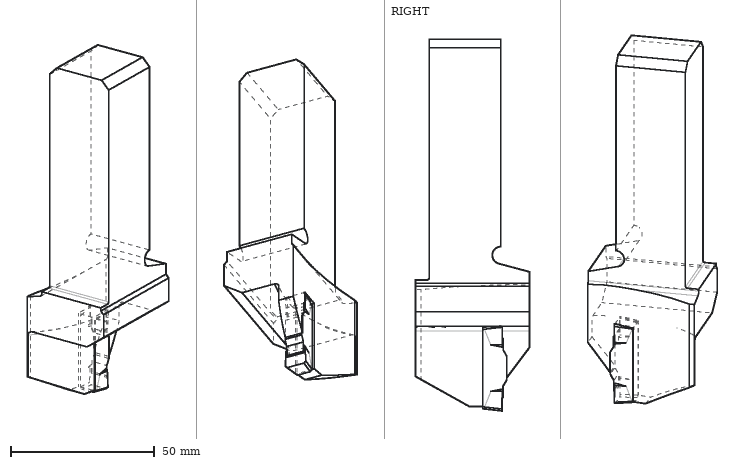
import cadquery as cq
import math

TOP_Z = 129.5
SHANK_SIDE = 25.0
SHANK_CHAMFER = 3.0

HEAD_FRONT_Y = -4.8
HEAD_BACK_Y = 35.0
HEAD_LEFT_X = -6.2
HEAD_RIGHT_X = 26.1
HEAD_TOP_Z = 45.7
HEAD_BOTTOM_Z = 29.5
SIDE_BEVEL_TOP_Z = 44.5
UNDERCUT_TOP_Z = 34.5
UNDERCUT_START_X = 19.2
SLOPE_ANGLE = math.radians(15)
LEFT_SLOPE_LOW_Z = 42.3
LEFT_SLOPE_RADIUS = 1.4
SHANK_FOOT_RADIUS = 0.6

RELIEF_RADIUS = 3.0
RELIEF_Z = 54.2

CONCAVE_RADIUS = 88.0
CONCAVE_CREST_X = -0.4
CONCAVE_CENTER_Y = 28.5
CONVEX_RADIUS = 41.4
CONVEX_CREST_X = 6.3
CONVEX_CENTER_Y = 24.6
BLADE_ROOT_RADIUS = 1.5
BLADE_BOTTOM_Z = 1.5
FRONT_CUT_TOP_Z = 12.0
FRONT_CUT_END_Y = 14.0
BACK_CUT_TOP_Z = 22.1
BACK_CUT_END_Z = 11.7

INSERT_LENGTH = 29.9
INSERT_LEFT_X = -0.9
INSERT_SEAT_Y = 18.6
INSERT_RAKE_Y = 25.4
INSERT_RIDGE_Y = 27.0
INSERT_END_RELIEF = 0.8
CHIP_STEP = 0.4
CHIP_STEP_START = 4.4
RIDGE_FOOT = 8.7
RIDGE_START = 10.9
BODY_WIDTH = 6.5
TIP_WIDTH = 8.0
TIP_LENGTH = 6.9
TIP_RUNOUT = 0.8
TIP_CORNER = 0.8
FLANK_RUNOUT_Y = 21.4
BODY_HALF_WIDTH = BODY_WIDTH / 2
TIP_HALF_WIDTH = TIP_WIDTH / 2
INSERT_CENTER_X = INSERT_LEFT_X + TIP_HALF_WIDTH

HEAD_DEPTH = HEAD_BACK_Y - HEAD_FRONT_Y


def extrude_along_y(outline_xz, start_y, length):
    """Extrude an (x, z) outline toward +Y from start_y."""
    plane = cq.Workplane("XZ", origin=(0, start_y, 0))
    return plane.polyline(outline_xz).close().extrude(-length)


def extrude_along_x(outline_yz, start_x, end_x):
    """Extrude a (y, z) outline between two X positions."""
    plane = cq.Workplane("YZ", origin=(start_x, 0, 0))
    return plane.polyline(outline_yz).close().extrude(end_x - start_x)


def vertical_cylinder(center_x, center_y, radius, low_z, high_z):
    plane = cq.Workplane("XY", origin=(center_x, center_y, low_z))
    return plane.circle(radius).extrude(high_z - low_z)


def make_shank():
    plane = cq.Workplane("XY", origin=(0, 0, LEFT_SLOPE_LOW_Z))
    shank = plane.rect(SHANK_SIDE, SHANK_SIDE, centered=False).extrude(TOP_Z - LEFT_SLOPE_LOW_Z)
    return shank.faces(">Z").edges("|Y").chamfer(SHANK_CHAMFER)


def make_head():
    bevel = HEAD_RIGHT_X - SHANK_SIDE
    slope_high_z = LEFT_SLOPE_LOW_Z - HEAD_LEFT_X * math.tan(SLOPE_ANGLE)
    outline = [
        (HEAD_LEFT_X, HEAD_BOTTOM_Z),
        (UNDERCUT_START_X, HEAD_BOTTOM_Z),
        (HEAD_RIGHT_X, UNDERCUT_TOP_Z),
        (HEAD_RIGHT_X, SIDE_BEVEL_TOP_Z - bevel),
        (SHANK_SIDE, SIDE_BEVEL_TOP_Z),
        (SHANK_SIDE, RELIEF_Z),
        (0, RELIEF_Z),
        (0, slope_high_z),
        (HEAD_LEFT_X, LEFT_SLOPE_LOW_Z),
    ]
    head = extrude_along_y(outline, HEAD_FRONT_Y, HEAD_DEPTH)
    slope_foot = cq.selectors.NearestToPointSelector((0, HEAD_FRONT_Y + HEAD_DEPTH / 2, slope_high_z))
    head = head.edges("|Y").edges(slope_foot).fillet(LEFT_SLOPE_RADIUS)

    front_step = cq.Workplane("XY").box(SHANK_SIDE, -HEAD_FRONT_Y, RELIEF_Z - HEAD_TOP_Z, centered=False)
    return head.cut(front_step.translate((0, HEAD_FRONT_Y, HEAD_TOP_Z)))


def make_back_relief():
    """Clearance behind the shank: a round groove running out in a slope to the head's back."""
    tangent_y = SHANK_SIDE - RELIEF_RADIUS * math.sin(SLOPE_ANGLE)
    tangent_z = RELIEF_Z - RELIEF_RADIUS * math.cos(SLOPE_ANGLE)
    slope_end_z = tangent_z - (HEAD_BACK_Y - tangent_y) * math.tan(SLOPE_ANGLE)
    plane = cq.Workplane("YZ", origin=(HEAD_LEFT_X, 0, 0))
    return (
        plane.moveTo(SHANK_SIDE, RELIEF_Z + RELIEF_RADIUS)
        .threePointArc((SHANK_SIDE - RELIEF_RADIUS, RELIEF_Z), (tangent_y, tangent_z))
        .lineTo(HEAD_BACK_Y, slope_end_z)
        .lineTo(HEAD_BACK_Y, RELIEF_Z + RELIEF_RADIUS)
        .close()
        .extrude(HEAD_RIGHT_X - HEAD_LEFT_X)
    )


def make_blade_stock():
    """Full-height blade: the part of the convex cylinder below the head's footprint."""
    axis_x = CONVEX_CREST_X - CONVEX_RADIUS
    cylinder = vertical_cylinder(axis_x, CONVEX_CENTER_Y, CONVEX_RADIUS, BLADE_BOTTOM_Z, HEAD_BOTTOM_Z)
    footprint = cq.Workplane("XY").box(
        HEAD_RIGHT_X - HEAD_LEFT_X, HEAD_DEPTH, HEAD_BOTTOM_Z, centered=False
    )
    return cylinder.intersect(footprint.translate((HEAD_LEFT_X, HEAD_FRONT_Y, 0)))


def make_concave_cutter():
    axis_x = CONCAVE_CREST_X - CONCAVE_RADIUS
    return vertical_cylinder(axis_x, CONCAVE_CENTER_Y, CONCAVE_RADIUS, 0, RELIEF_Z)


def make_end_cutters():
    """Sloped cuts that taper the blade's lower end at the front and at the back."""
    front = [
        (HEAD_FRONT_Y, FRONT_CUT_TOP_Z),
        (FRONT_CUT_END_Y, BLADE_BOTTOM_Z),
        (HEAD_FRONT_Y, BLADE_BOTTOM_Z),
    ]
    back = [
        (HEAD_BACK_Y, BACK_CUT_TOP_Z),
        (INSERT_RIDGE_Y, BACK_CUT_END_Z),
        (INSERT_SEAT_Y, BACK_CUT_END_Z),
        (INSERT_SEAT_Y, 0),
        (HEAD_BACK_Y, 0),
    ]
    return [extrude_along_x(outline, HEAD_LEFT_X, HEAD_RIGHT_X) for outline in (front, back)]


def extrude_insert_outline(start_x, end_x):
    """Insert seen along X: flat seat, relieved ends and a raised ridge between the rake faces."""
    lower_half = [
        (INSERT_SEAT_Y, INSERT_END_RELIEF),
        (INSERT_RAKE_Y, 0),
        (INSERT_RAKE_Y, CHIP_STEP_START),
        (INSERT_RAKE_Y + CHIP_STEP, CHIP_STEP_START + CHIP_STEP),
        (INSERT_RAKE_Y + CHIP_STEP, RIDGE_FOOT),
        (INSERT_RIDGE_Y, RIDGE_START),
    ]
    upper_half = [(y, INSERT_LENGTH - z) for y, z in reversed(lower_half)]
    return extrude_along_x(lower_half + upper_half, start_x, end_x)


def make_tip_flanks():
    """Lower tip widening toward the rake face and toward the cutting edge, with a short sloped end."""
    flank_slope = (TIP_HALF_WIDTH - BODY_HALF_WIDTH) / (INSERT_RAKE_Y - INSERT_SEAT_Y)
    inner_half_width = BODY_HALF_WIDTH + flank_slope * (INSERT_RAKE_Y - FLANK_RUNOUT_Y)
    narrowing = TIP_HALF_WIDTH - inner_half_width

    def section(shrink):
        seat_half = BODY_HALF_WIDTH - shrink
        rake_half = TIP_HALF_WIDTH - shrink
        return [
            (INSERT_CENTER_X - seat_half, INSERT_SEAT_Y),
            (INSERT_CENTER_X + seat_half, INSERT_SEAT_Y),
            (INSERT_CENTER_X + rake_half, INSERT_RAKE_Y),
            (INSERT_CENTER_X - rake_half, INSERT_RAKE_Y),
        ]

    tip = cq.Workplane("XY").polyline(section(0)).close()
    tip = tip.workplane(offset=TIP_LENGTH).polyline(section(narrowing)).close()
    full_narrowing = TIP_HALF_WIDTH - BODY_HALF_WIDTH
    tip = tip.workplane(offset=TIP_RUNOUT).polyline(section(full_narrowing)).close()
    return tip.loft(ruled=True)


def make_corner_envelope():
    """Block with bevelled corners that tapers along the insert's side and end relief."""
    ridge_reach = (INSERT_RIDGE_Y - INSERT_SEAT_Y) / (INSERT_RAKE_Y - INSERT_SEAT_Y)

    def section(reach):
        half_width = BODY_HALF_WIDTH + reach * (TIP_HALF_WIDTH - BODY_HALF_WIDTH)
        half_length = INSERT_LENGTH / 2 - (1 - reach) * INSERT_END_RELIEF
        corners = cq.Sketch().rect(2 * half_width, 2 * half_length).vertices().chamfer(TIP_CORNER)
        return corners.reset()

    plane = cq.Workplane("XZ", origin=(INSERT_CENTER_X, INSERT_SEAT_Y, INSERT_LENGTH / 2))
    seat_to_ridge = cq.Location(cq.Vector(0, 0, INSERT_SEAT_Y - INSERT_RIDGE_Y))
    return plane.placeSketch(section(0), section(ridge_reach).moved(seat_to_ridge)).loft(ruled=True)


def make_insert():
    body = extrude_insert_outline(INSERT_CENTER_X - BODY_HALF_WIDTH, INSERT_CENTER_X + BODY_HALF_WIDTH)
    wide = extrude_insert_outline(INSERT_CENTER_X - TIP_HALF_WIDTH, INSERT_CENTER_X + TIP_HALF_WIDTH)
    lower_tip = make_tip_flanks()
    mid_height = (0, 0, INSERT_LENGTH / 2)
    upper_tip = lower_tip.mirror("XY", mid_height)
    insert = body.union(wide.intersect(lower_tip)).union(wide.intersect(upper_tip))

    return insert.intersect(make_corner_envelope())


def make_holder():
    body = make_head().union(make_shank()).cut(make_back_relief())
    shank_foot = cq.selectors.NearestToPointSelector((SHANK_SIDE / 2, 0, HEAD_TOP_Z))
    body = body.edges(shank_foot).fillet(SHANK_FOOT_RADIUS)

    body = body.union(make_blade_stock())
    blade_root = cq.selectors.NearestToPointSelector((CONVEX_CREST_X, CONVEX_CENTER_Y, HEAD_BOTTOM_Z))
    body = body.edges("%CIRCLE").edges(blade_root).fillet(BLADE_ROOT_RADIUS)

    body = body.cut(make_concave_cutter())
    for cutter in make_end_cutters():
        body = body.cut(cutter)

    pocket = extrude_insert_outline(HEAD_LEFT_X, INSERT_LEFT_X + TIP_WIDTH)
    return body.cut(pocket)


holder = make_holder()
insert = make_insert()
result = cq.Compound.makeCompound([holder.solids().val(), insert.solids().val()])